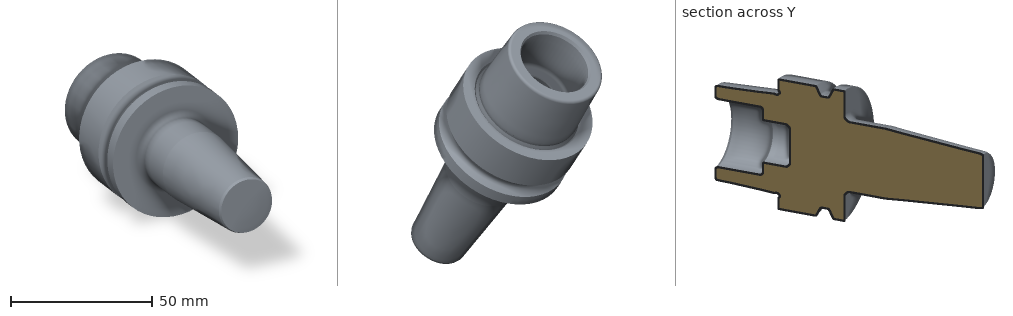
import cadquery as cq
import math

length = 104.9

nose_start_radius = 18.1
nose_end_radius = 19.2
nose_taper_end_x = 22.9
nose_land_width = 0.6
nose_rim_fillet = 1.0

neck_radius = 19.0
relief_valley_radius = 19.9
relief_outer_radius = 20.6
relief_depth = 0.6
relief_start_gap = 0.3

flange_diameter = 50.0
flange_radius = flange_diameter / 2
flange_start_x = 24.8
flange_end_x = 50.7
groove_center_x = 42.9
groove_mouth_width = 6.7
groove_depth = 3.6
groove_wall_angle = 63.0
groove_fillet = 0.9

shank_radius = 13.5
shank_fillet = 2.2
tip_taper_start_x = 66.7
tip_radius = 10.6
tip_chamfer = 0.4
tip_chamfer_length = 1.0

bore_mouth_radius = 13.6
bore_radius = 13.0
bore_chamfer_length = 1.0
bore_depth = 18.7
bore_floor_fillet = 1.3
pilot_radius = 8.1
pilot_mouth_radius = 8.4
pilot_end_radius = 6.9
pilot_depth = 10.5


def revolve_outline(points):
    """Solid of revolution from closed (x, radius) points."""
    return cq.Workplane("XY").polyline(points).close().revolve(360, (0, 0, 0), (1, 0, 0))


def circle_edge_at(x, radius):
    """Selector for the circular edges centred on X at one station, up to the given radius."""
    margin = 0.05
    reach = radius + margin
    return cq.selectors.BoxSelector(
        (x - margin, -reach, -reach), (x + margin, reach, reach), boundingbox=True
    )


def make_body():
    groove_mouth_half = groove_mouth_width / 2
    groove_wall_run = groove_depth / math.tan(math.radians(groove_wall_angle))
    groove_floor_half = groove_mouth_half - groove_wall_run
    groove_floor_radius = flange_radius - groove_depth

    nose_land_end_x = nose_taper_end_x + nose_land_width
    neck_start_x = nose_land_end_x + (nose_end_radius - neck_radius)

    body = revolve_outline([
        (0, 0),
        (0, nose_start_radius),
        (nose_taper_end_x, nose_end_radius),
        (nose_land_end_x, nose_end_radius),
        (neck_start_x, neck_radius),
        (flange_start_x - relief_start_gap, neck_radius),
        (flange_start_x + relief_depth, relief_valley_radius),
        (flange_start_x, relief_outer_radius),
        (flange_start_x, flange_radius),
        (groove_center_x - groove_mouth_half, flange_radius),
        (groove_center_x - groove_floor_half, groove_floor_radius),
        (groove_center_x + groove_floor_half, groove_floor_radius),
        (groove_center_x + groove_mouth_half, flange_radius),
        (flange_end_x, flange_radius),
        (flange_end_x, shank_radius),
        (tip_taper_start_x, shank_radius),
        (length - tip_chamfer_length, tip_radius),
        (length, tip_radius - tip_chamfer),
        (length, 0),
    ])
    body = body.edges(circle_edge_at(0, nose_start_radius)).fillet(nose_rim_fillet)
    for side in (-1, 1):
        floor_corner_x = groove_center_x + side * groove_floor_half
        body = body.edges(circle_edge_at(floor_corner_x, groove_floor_radius)).fillet(groove_fillet)
    return body.edges(circle_edge_at(flange_end_x, shank_radius)).fillet(shank_fillet)


def make_bore():
    bore = revolve_outline([
        (0, 0),
        (0, bore_mouth_radius),
        (bore_chamfer_length, bore_radius),
        (bore_depth, bore_radius),
        (bore_depth, 0),
    ])
    return bore.edges(circle_edge_at(bore_depth, bore_radius)).fillet(bore_floor_fillet)


def make_pilot_hole():
    mouth_chamfer = pilot_mouth_radius - pilot_radius
    end_taper = pilot_radius - pilot_end_radius
    pilot_end_x = bore_depth + pilot_depth
    return revolve_outline([
        (bore_depth, 0),
        (bore_depth, pilot_mouth_radius),
        (bore_depth + mouth_chamfer, pilot_radius),
        (pilot_end_x - end_taper, pilot_radius),
        (pilot_end_x, pilot_end_radius),
        (pilot_end_x, 0),
    ])


result = make_body().cut(make_bore()).cut(make_pilot_hole())